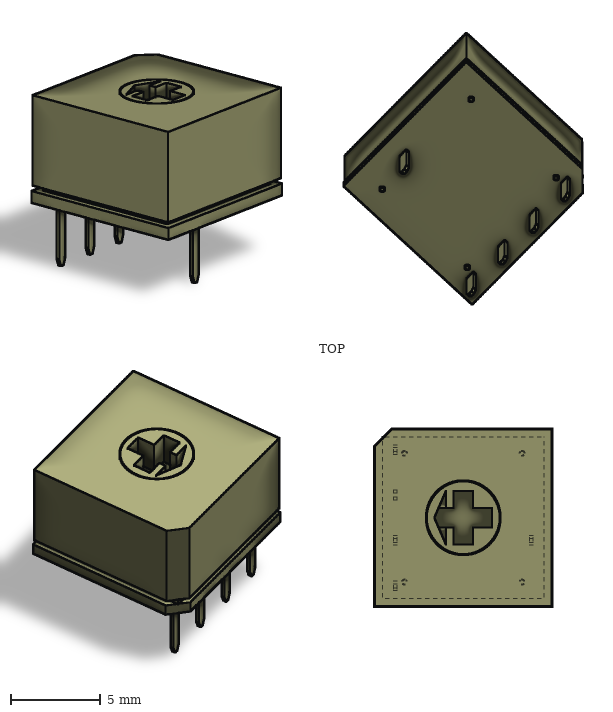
import cadquery as cq

base_width = 10.0
overall_height = 10.15

pin_length = 3.76
base_thickness = 0.71
neck_height = 0.31
base_top = pin_length + base_thickness
cover_bottom = base_top + neck_height
cover_height = overall_height - cover_bottom

cover_width = 9.91
neck_width = 9.05
base_corner_cut = 0.99
cover_corner_cut = 0.91

pin_thickness = 0.2
pin_width = 0.54
pin_tip_width = 0.22
pin_tip_length = 0.45
pin_row_spacing = 7.63
pin_pitch = 2.55
pins_per_row = 4
common_pin_index = 1

bump_diameter = 0.32
bump_tip_diameter = 0.22
bump_height = 0.09
bump_spacing_x = 6.6
bump_spacing_y = 7.23

pocket_diameter = 4.2
rotor_diameter = 4.1
rotor_height = 2.54

slot_depth = 2.03
arrow_depth = 1.02
slot_width = 1.08
slot_half_span = 1.5
slot_reach = 1.62
arrow_length = 0.65


def cut_corner_block(width, corner_cut, bottom, height):
    """Square block with the vertical edge at (-X, +Y) cut at 45 degrees."""
    return (
        cq.Workplane("XY")
        .workplane(offset=bottom)
        .rect(width, width)
        .extrude(height)
        .edges("|Z and <X and >Y")
        .chamfer(corner_cut)
    )


def pin_place(index):
    """Y position of a pin, counted from the -Y end of a row centred on the part."""
    return (index - (pins_per_row - 1) / 2) * pin_pitch


def make_pin(x, y):
    """Flat pin under the base, tapering to a blunt tip at Z = 0."""
    half_width = pin_width / 2
    half_tip = pin_tip_width / 2
    return (
        cq.Workplane("YZ")
        .workplane(offset=x - pin_thickness / 2)
        .center(y, 0)
        .moveTo(-half_tip, 0)
        .lineTo(half_tip, 0)
        .lineTo(half_width, pin_tip_length)
        .lineTo(half_width, pin_length)
        .lineTo(-half_width, pin_length)
        .lineTo(-half_width, pin_tip_length)
        .close()
        .extrude(pin_thickness)
    )


def make_bump(x, y):
    """Small truncated cone hanging under the base."""
    return (
        cq.Workplane("XY")
        .workplane(offset=pin_length)
        .center(x, y)
        .circle(bump_diameter / 2)
        .workplane(offset=-bump_height)
        .circle(bump_tip_diameter / 2)
        .loft()
    )


def make_housing():
    """Cover, neck, base, pins and bumps as one solid with the rotor pocket."""
    base = cut_corner_block(base_width, base_corner_cut, pin_length, base_thickness)
    neck = cq.Workplane("XY").workplane(offset=base_top).rect(neck_width, neck_width).extrude(neck_height)
    cover = cut_corner_block(cover_width, cover_corner_cut, cover_bottom, cover_height)
    housing = base.union(neck).union(cover)

    for index in range(pins_per_row):
        housing = housing.union(make_pin(-pin_row_spacing / 2, pin_place(index)))
    housing = housing.union(make_pin(pin_row_spacing / 2, pin_place(common_pin_index)))

    for bump_x in (-bump_spacing_x / 2, bump_spacing_x / 2):
        for bump_y in (-bump_spacing_y / 2, bump_spacing_y / 2):
            housing = housing.union(make_bump(bump_x, bump_y))

    pocket = (
        cq.Workplane("XY")
        .workplane(offset=overall_height - rotor_height)
        .circle(pocket_diameter / 2)
        .extrude(rotor_height)
    )
    return housing.cut(pocket)


def make_arrow(depth):
    """Triangular cutting body pointing toward -X, sunk from the top face."""
    arrow_back = arrow_length - slot_reach
    return (
        cq.Workplane("XY")
        .workplane(offset=overall_height - depth)
        .moveTo(-slot_reach, 0)
        .lineTo(arrow_back, -slot_half_span)
        .lineTo(arrow_back, slot_half_span)
        .close()
        .extrude(depth)
    )


def make_slot():
    """Cutting body: a deep cross whose -X arm ends in the arrow point, plus the arrow wings."""
    slot_bottom = cq.Workplane("XY").workplane(offset=overall_height - slot_depth)
    arrow_back = arrow_length - slot_reach
    cross_arm = slot_bottom.rect(slot_width, 2 * slot_half_span).extrude(slot_depth)
    long_strip = slot_bottom.rect(2 * slot_reach, slot_width).extrude(slot_depth)
    long_arm = (
        slot_bottom.center((arrow_back + slot_reach) / 2, 0)
        .rect(slot_reach - arrow_back, slot_width)
        .extrude(slot_depth)
    )
    pointed_end = make_arrow(slot_depth).intersect(long_strip)
    return cross_arm.union(long_arm).union(pointed_end).union(make_arrow(arrow_depth))


def make_rotor():
    """Turning disc, flush with the top of the cover."""
    disc = (
        cq.Workplane("XY")
        .workplane(offset=overall_height - rotor_height)
        .circle(rotor_diameter / 2)
        .extrude(rotor_height)
    )
    return disc.cut(make_slot())


housing = make_housing()
rotor = make_rotor()

result = cq.Compound.makeCompound([housing.val(), rotor.val()])